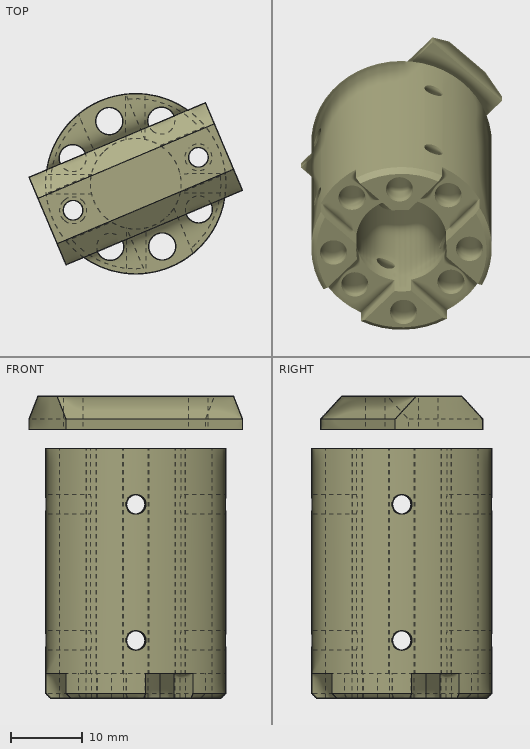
import cadquery as cq

radial_hole_angle = 0.4
axial_hole_count = 8
pattern_angle = radial_hole_angle + 180 / axial_hole_count
total_height = 42.35
bolt_circle_radius = 9.53
small_hole_diameter = 2.7

body_diameter = 25.3
body_height = 35.02
bore_diameter = 12.7
axial_hole_diameter = 3.75
radial_hole_heights = (8.15, 27.2)
slot_count = 4
slot_width = 7.2
slot_depth = 3.5
chamfer_size = 0.7

bar_length = 26.85
bar_width = 13.35
bar_height = 4.7
bar_side_height = 1.5
bar_bevel = bar_height - bar_side_height


def bored_blank():
    """Revolve the bored cylinder with its chamfered lower rim."""
    outer_radius = body_diameter / 2
    bore_radius = bore_diameter / 2
    return (
        cq.Workplane("XZ")
        .moveTo(bore_radius, 0)
        .lineTo(outer_radius - chamfer_size, 0)
        .lineTo(outer_radius, chamfer_size)
        .lineTo(outer_radius, body_height)
        .lineTo(bore_radius, body_height)
        .close()
        .revolve(360, (0, 0, 0), (0, 1, 0))
    )


def axial_holes():
    """Ring of holes running the full height of the cylinder."""
    return (
        cq.Workplane("XY")
        .polarArray(bolt_circle_radius, pattern_angle, 360, axial_hole_count)
        .circle(axial_hole_diameter / 2)
        .extrude(body_height)
    )


def radial_hole(plane, height):
    """Cross hole through both walls, normal to the given plane before the assembly turn."""
    return (
        cq.Workplane(plane)
        .center(0, height)
        .circle(small_hole_diameter / 2)
        .extrude(body_diameter, both=True)
        .rotate((0, 0, 0), (0, 0, 1), radial_hole_angle)
    )


def end_slot(angle):
    """Slot in the lower rim, from the axis outward at the given angle."""
    return (
        cq.Workplane("XY")
        .rect(body_diameter, slot_width)
        .extrude(slot_depth)
        .translate((body_diameter / 2, 0, 0))
        .rotate((0, 0, 0), (0, 0, 1), angle)
    )


def make_cylinder():
    cylinder = bored_blank().cut(axial_holes())
    for height in radial_hole_heights:
        for plane in ("XZ", "YZ"):
            cylinder = cylinder.cut(radial_hole(plane, height))
    for index in range(slot_count):
        cylinder = cylinder.cut(end_slot(pattern_angle + index * 360 / slot_count))
    return cylinder


def make_clamp_bar():
    half_width = bar_width / 2
    half_top = half_width - bar_bevel
    bar = (
        cq.Workplane("YZ")
        .moveTo(-half_width, 0)
        .lineTo(half_width, 0)
        .lineTo(half_width, bar_side_height)
        .lineTo(half_top, bar_height)
        .lineTo(-half_top, bar_height)
        .lineTo(-half_width, bar_side_height)
        .close()
        .extrude(bar_length / 2, both=True)
    )
    bar_holes = (
        cq.Workplane("XY")
        .pushPoints([(-bolt_circle_radius, 0), (bolt_circle_radius, 0)])
        .circle(small_hole_diameter / 2)
        .extrude(bar_height)
    )
    return (
        bar.cut(bar_holes)
        .rotate((0, 0, 0), (0, 0, 1), pattern_angle)
        .translate((0, 0, total_height - bar_height))
    )


cylinder = make_cylinder()
clamp_bar = make_clamp_bar()

result = cq.Compound.makeCompound([cylinder.val(), clamp_bar.val()])